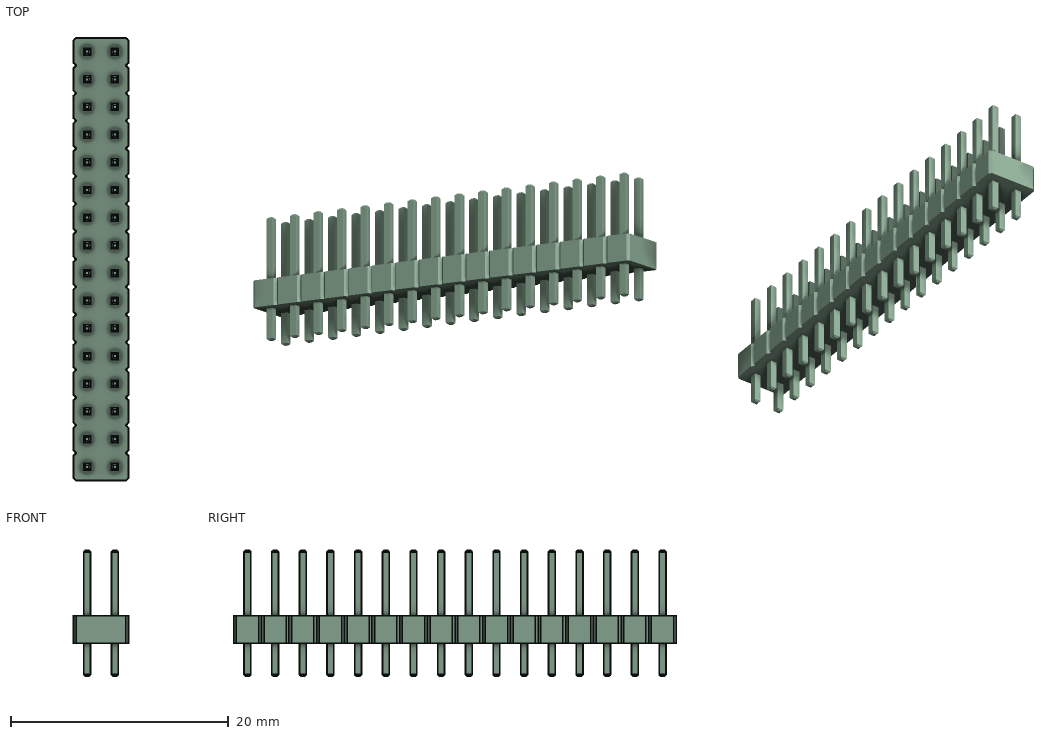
import cadquery as cq

pitch = 2.54
row_count = 2
pins_per_row = 16

body_width = row_count * pitch
body_height = pitch
corner_chamfer = pitch / 10

pin_side = 0.64
pin_tip_chamfer = pin_side / 4
pin_length_below_body = 3.0
pin_length_above_body = 6.0
pin_length = pin_length_below_body + body_height + pin_length_above_body


def grid_position(index, count):
    """Coordinate of one pitch cell in a series centred on zero."""
    return (index - (count - 1) / 2) * pitch


def make_body():
    """Row of chamfered blocks whose touching corners form the V-notches."""
    body = cq.Workplane("XY")
    for index in range(pins_per_row):
        block = (
            cq.Workplane("XY")
            .box(body_width, pitch, body_height, centered=(True, True, False))
            .edges("|Z")
            .chamfer(corner_chamfer)
            .translate((0, grid_position(index, pins_per_row), 0))
        )
        body = body.union(block)
    return body.clean()


def make_pin():
    """Square pin with tapered tips, running through the body."""
    return (
        cq.Workplane("XY")
        .workplane(offset=-pin_length_below_body)
        .box(pin_side, pin_side, pin_length, centered=(True, True, False))
        .faces("<Z or >Z")
        .chamfer(pin_tip_chamfer)
    )


def pin_positions():
    """Pin centres, one per pitch cell in each row."""
    return [
        (grid_position(row, row_count), grid_position(index, pins_per_row), 0)
        for row in range(row_count)
        for index in range(pins_per_row)
    ]


result = make_body()
pin = make_pin()
for position in pin_positions():
    result = result.union(pin.translate(position))